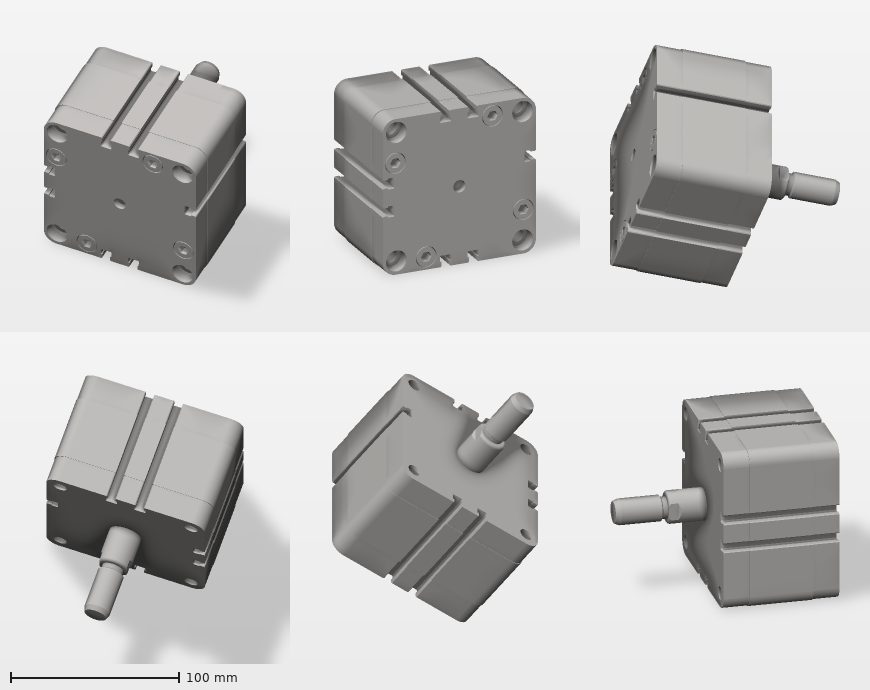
import cadquery as cq
import math


total_length = 126.0
body_width = 100.0
half_width = body_width / 2
cap_inset = 0.3
cap_half_width = half_width - cap_inset
rod_projection = 54.9
body_length = total_length - rod_projection
cap_length = 16.0
tube_length = body_length - 2 * cap_length
corner_size = 8.0
cap_corner_radius = 8.3

slot_mouth_width = 5.3
slot_inner_width = 7.0
slot_depth = 7.5
slot_lip_depth = 3.5
slot_floor_chamfer = 0.5
slot_mouth_chamfer = 0.5
slot_offset = 9.0
single_slot_offset = 12.1

mount_hole_offset = 41.1
mount_hole_diameter = 8.3
mount_counterbore_diameter = 13.5
mount_counterbore_depth = 8.6

screw_edge_offset = 41.6
screw_side_offset = 21.5
screw_recess_diameter = 13.5
screw_head_diameter = 12.5
screw_gap_depth = 5.0
hex_across_flats = 5.9
hex_depth = 5.0

centre_hole_diameter = 8.0
centre_hole_depth = 4.0

rod_diameter = 20.0
shoulder_fillet = 1.8
thread_diameter = 16.0
thread_root_diameter = 13.5
shoulder_from_tip = 32.0
tip_chamfer_length = 3.0
thread_end_from_tip = 28.2
runout_length = 0.8
rod_flats_width = 17.0
rod_flats_length = 5.7


def along_y(start):
    """Workplane across the Y axis at Y = start; local x is X and local y is Z."""
    plane = cq.Plane(origin=(0, start, 0), xDir=(1, 0, 0), normal=(0, -1, 0))
    return cq.Workplane(plane)


def prism(profile, length):
    """Extrude a profile from its plane towards +Y."""
    return profile.extrude(-length)


def square_block(start, length, half_side, corner_radius):
    """Square block whose corners are arcs with fixed end points and the given radius."""
    flat_end = half_side - corner_size
    half_chord = corner_size / math.sqrt(2)
    sagitta = corner_radius - math.sqrt(corner_radius**2 - half_chord**2)
    mid = half_side - corner_size / 2 + sagitta / math.sqrt(2)
    profile = (
        along_y(start)
        .moveTo(flat_end, half_side)
        .threePointArc((mid, mid), (half_side, flat_end))
        .lineTo(half_side, -flat_end)
        .threePointArc((mid, -mid), (flat_end, -half_side))
        .lineTo(-flat_end, -half_side)
        .threePointArc((-mid, -mid), (-half_side, -flat_end))
        .lineTo(-half_side, flat_end)
        .threePointArc((-mid, mid), (-flat_end, half_side))
        .close()
    )
    return prism(profile, length)


def slot_cutter(start, length, side, offset, side_angle, mouth_chamfer):
    """T-slot cutter for a face at Z = side, turned about Y by side_angle to reach another face."""
    mouth = slot_mouth_width / 2
    inner = slot_inner_width / 2
    lip = half_width - slot_lip_depth
    floor = half_width - slot_depth
    right_half = [
        (mouth + mouth_chamfer, side),
        (mouth, side - mouth_chamfer),
        (mouth, lip),
        (inner, lip),
        (inner, floor + slot_floor_chamfer),
        (inner - slot_floor_chamfer, floor),
    ]
    if mouth_chamfer == 0:
        right_half = right_half[1:]
    left_half = [(-x, z) for x, z in reversed(right_half)]
    outline = [(x + offset, z) for x, z in right_half + left_half]
    cutter = prism(along_y(start).polyline(outline).close(), length)
    return cutter.rotate((0, 0, 0), (0, 1, 0), side_angle)


def piston_rod():
    """Turned rod with thread, undercut and rounded shoulder, plus wrench flats facing -X and +X."""
    shoulder = total_length - shoulder_from_tip
    thread_end = total_length - thread_end_from_tip
    rod_radius = rod_diameter / 2
    thread_radius = thread_diameter / 2
    root_radius = thread_root_diameter / 2
    half_section = [
        (0, body_length - cap_length),
        (rod_radius, body_length - cap_length),
        (rod_radius, shoulder),
        (root_radius, shoulder),
        (root_radius, thread_end - runout_length),
        (thread_radius, thread_end),
        (thread_radius, total_length - tip_chamfer_length),
        (root_radius, total_length),
        (0, total_length),
    ]
    rod = cq.Workplane("XY").polyline(half_section).close().revolve(360, (0, 0, 0), (0, 1, 0))
    shoulder_edge = cq.selectors.BoxSelector(
        (-rod_diameter, shoulder - runout_length, -rod_diameter),
        (rod_diameter, shoulder + runout_length, rod_diameter),
        boundingbox=True,
    )
    rod = rod.edges(shoulder_edge).edges(cq.selectors.RadiusNthSelector(-1)).fillet(shoulder_fillet)

    flat = rod_flats_width / 2
    flat_start = shoulder - rod_flats_length
    run_in = rod_radius - flat
    flat_section = [
        (flat, shoulder),
        (flat, flat_start),
        (rod_radius, flat_start - run_in),
        (rod_diameter, flat_start - run_in),
        (rod_diameter, shoulder),
    ]
    flat_cutter = cq.Workplane("XY").polyline(flat_section).close().extrude(rod_radius, both=True)
    return rod.cut(flat_cutter).cut(flat_cutter.mirror("YZ"))


front_cap_start = body_length - cap_length
body = (
    square_block(0, cap_length, cap_half_width, cap_corner_radius)
    .union(square_block(cap_length, tube_length, half_width, corner_size))
    .union(square_block(front_cap_start, cap_length, cap_half_width, cap_corner_radius))
)

slots = [
    (-slot_offset, 0, False),
    (slot_offset, 0, False),
    (-slot_offset, 180, False),
    (slot_offset, 180, False),
    (-slot_offset, -90, True),
    (slot_offset, -90, True),
    (-single_slot_offset, 90, True),
]
for offset, side_angle, tube_chamfered in slots:
    tube_chamfer = slot_mouth_chamfer if tube_chamfered else 0
    body = (
        body.cut(slot_cutter(0, cap_length, cap_half_width, offset, side_angle, slot_mouth_chamfer))
        .cut(slot_cutter(cap_length, tube_length, half_width, offset, side_angle, tube_chamfer))
        .cut(slot_cutter(front_cap_start, cap_length, cap_half_width, offset, side_angle, slot_mouth_chamfer))
    )

mount_points = [(x, z) for x in (-mount_hole_offset, mount_hole_offset)
                for z in (-mount_hole_offset, mount_hole_offset)]
mount_holes = prism(along_y(0).pushPoints(mount_points).circle(mount_hole_diameter / 2), body_length)
counterbores = prism(
    along_y(0).pushPoints(mount_points).circle(mount_counterbore_diameter / 2),
    mount_counterbore_depth,
)
body = body.cut(mount_holes).cut(counterbores)

screw_points = [
    (-screw_edge_offset, screw_side_offset),
    (screw_side_offset, screw_edge_offset),
    (screw_edge_offset, -screw_side_offset),
    (-screw_side_offset, -screw_edge_offset),
]
head_gaps = prism(
    along_y(0).pushPoints(screw_points).circle(screw_recess_diameter / 2).circle(screw_head_diameter / 2),
    screw_gap_depth,
)
hex_across_corners = hex_across_flats / math.cos(math.pi / 6)
hex_sockets = prism(along_y(0).pushPoints(screw_points).polygon(6, hex_across_corners), hex_depth)
body = body.cut(head_gaps).cut(hex_sockets)

body = body.cut(prism(along_y(0).circle(centre_hole_diameter / 2), centre_hole_depth))

result = body.union(piston_rod())